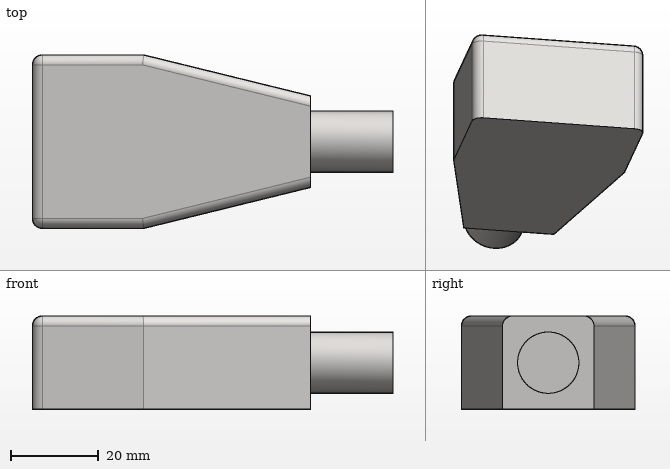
import cadquery as cq

total_length = 82.3
body_length = 63.5
body_width = 39.62
body_height = 21.34
straight_length = 25.4
narrow_width = 20.9
edge_radius = 2.29
cable_diameter = 14.0


def make_body():
    """Block tapering toward +X, rounded on its top rim and rear corners."""
    half_wide = body_width / 2
    half_narrow = narrow_width / 2
    outline = [
        (0, -half_wide),
        (straight_length, -half_wide),
        (body_length, -half_narrow),
        (body_length, half_narrow),
        (straight_length, half_wide),
        (0, half_wide),
    ]
    block = cq.Workplane("XY").polyline(outline).close().extrude(body_height)

    rear_corners = block.faces("<X").edges("|Z")
    top_rim = block.faces(">Z").edges("not(>X)")
    return block.newObject(rear_corners.vals() + top_rim.vals()).fillet(edge_radius)


def make_cable_outlet():
    """Cylinder leaving the middle of the narrow end face along +X."""
    start_x = straight_length
    return (
        cq.Workplane("YZ", origin=(start_x, 0, body_height / 2))
        .circle(cable_diameter / 2)
        .extrude(total_length - start_x)
    )


result = make_body().union(make_cable_outlet())